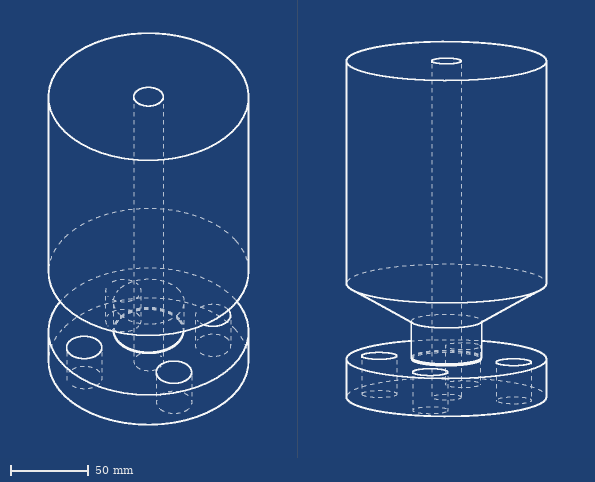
import cadquery as cq

total_height = 222.2
body_diameter = 130.0
neck_diameter = 46.0
bore_diameter = 19.1
flange_thickness = 25.1
neck_length = 25.1
foot_height = 1.0
foot_chamfer = 0.5
cone_height = 25.0
bolt_hole_diameter = 23.0
bolt_circle_radius = 45.0
bolt_hole_count = 4

foot_top = flange_thickness + foot_height
neck_top = flange_thickness + neck_length
cone_top = neck_top + cone_height


def turned_body():
    """Flange, neck, cone and cylinder revolved about Z; a chamfer narrows the neck to its foot."""
    outer = body_diameter / 2
    neck = neck_diameter / 2
    foot = neck - foot_chamfer
    profile = (
        cq.Workplane("XZ")
        .moveTo(0, 0)
        .lineTo(outer, 0)
        .lineTo(outer, flange_thickness)
        .lineTo(foot, flange_thickness)
        .lineTo(foot, foot_top)
        .lineTo(neck, foot_top + foot_chamfer)
        .lineTo(neck, neck_top)
        .lineTo(outer, cone_top)
        .lineTo(outer, total_height)
        .lineTo(0, total_height)
        .close()
    )
    return profile.revolve(360, (0, 0, 0), (0, 1, 0))


def center_bore():
    """Bore through the full height."""
    return cq.Workplane("XY").circle(bore_diameter / 2).extrude(total_height)


def bolt_holes():
    """Holes through the flange, one on each half axis of X and Y."""
    return (
        cq.Workplane("XY")
        .polarArray(bolt_circle_radius, 0, 360, bolt_hole_count)
        .circle(bolt_hole_diameter / 2)
        .extrude(flange_thickness)
    )


result = turned_body().cut(center_bore()).cut(bolt_holes())